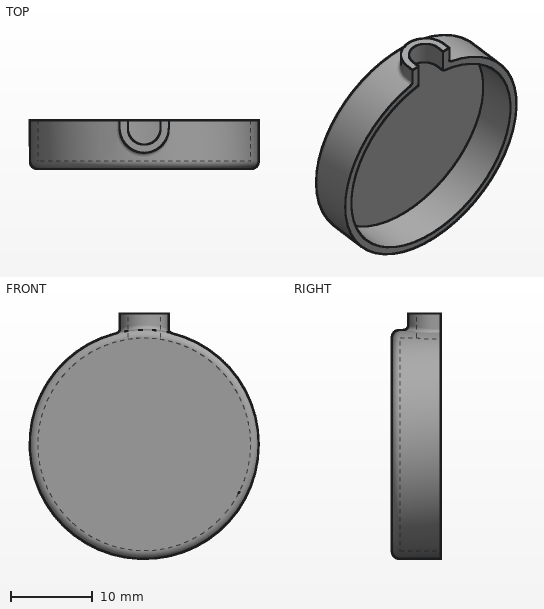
import cadquery as cq

outer_diameter = 28.0
depth = 6.0
overall_height = 30.0
wall = depth / 6
rim_radius = wall
neck_radius = 3.0
neck_bore_radius = neck_radius - wall
neck_axis_offset = wall
neck_root_fillet = wall / 2
margin = 0.3

outer_radius = outer_diameter / 2
cavity_radius = outer_radius - wall
cavity_depth = depth - wall
neck_top = overall_height - outer_radius


def disc(radius, length):
    """Disc standing on the back plane and reaching toward -Y."""
    return cq.Workplane("XZ").circle(radius).extrude(length)


def u_bar(radius, height):
    """Upright bar from the disc centre, round at the front and flat at the back."""
    return (
        cq.Workplane("XY")
        .moveTo(-radius, 0)
        .lineTo(-radius, -neck_axis_offset)
        .threePointArc((0, -neck_axis_offset - radius), (radius, -neck_axis_offset))
        .lineTo(radius, 0)
        .close()
        .extrude(height)
    )


def make_housing():
    """Cup open at the back, with a U-shaped neck whose channel enters the cavity."""
    shell = disc(outer_radius, depth).union(u_bar(neck_radius, neck_top))
    root_edges = cq.selectors.BoxSelector(
        (-neck_radius - margin, -neck_axis_offset - neck_radius - margin, outer_radius - 2 * margin),
        (neck_radius + margin, -margin / 10, outer_radius + margin),
    )
    shell = shell.edges(root_edges).fillet(neck_root_fillet)
    shell = shell.faces("<Y").edges().fillet(rim_radius)
    return shell.cut(disc(cavity_radius, cavity_depth)).cut(u_bar(neck_bore_radius, neck_top))


housing = make_housing()
result = cq.Compound.makeCompound([housing.val()])